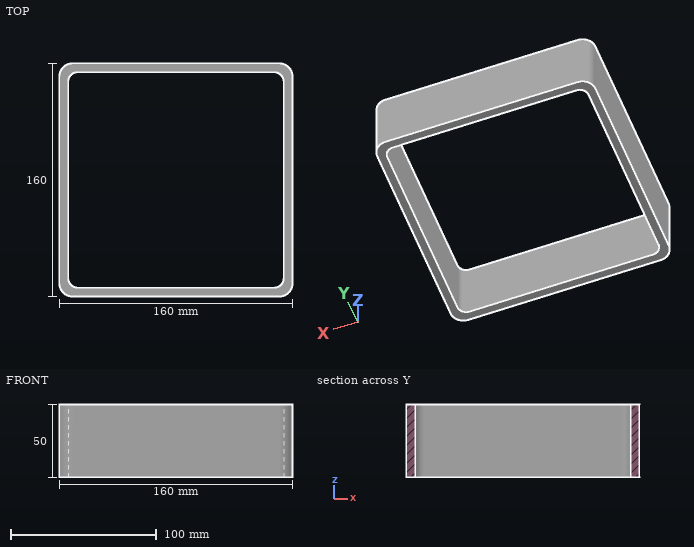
import cadquery as cq

side = 160.0
wall = 6.3
length = 50.0

outer_radius = 1.5 * wall
inner_radius = 1.0 * wall


def rounded_square_bar(width, corner_radius):
    """Upright square bar centred on Z, with its four vertical edges rounded."""
    bar = cq.Workplane("XY").rect(width, width).extrude(length)
    return bar.edges("|Z").fillet(corner_radius)


outside = rounded_square_bar(side, outer_radius)
opening = rounded_square_bar(side - 2 * wall, inner_radius)

result = outside.cut(opening)